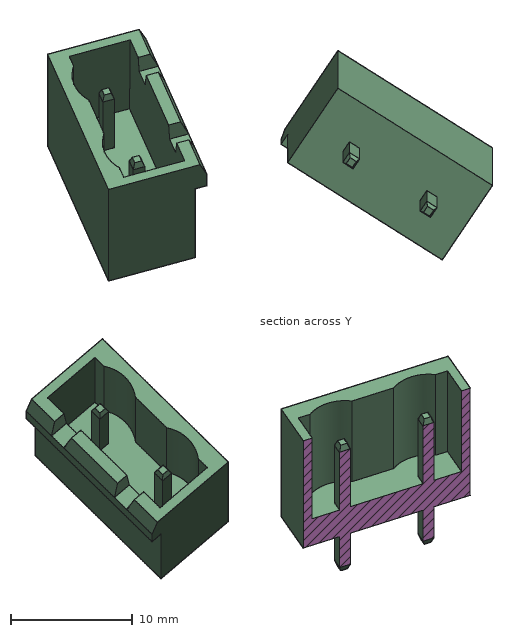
import cadquery as cq

WIDTH = 15.23
BODY_DEPTH = 7.6
BODY_HEIGHT = 12.0
OVERALL_DEPTH = 8.6

LIP_HEIGHT = 3.0
LIP_CHAMFER_DEPTH = 0.6
LIP_CHAMFER_HEIGHT = 1.5

CAVITY_WIDTH = 13.6
CAVITY_FRONT = 1.62
CAVITY_BACK_TOP = 6.95
CAVITY_BACK_FLOOR = 6.88
FLOOR_THICKNESS = 3.0
SCALLOP_CHORD = 3.84
SCALLOP_RISE = 0.6

SLOT_TOP_WIDTH = 2.03
SLOT_FLOOR_WIDTH = 1.47
SLOT_DEPTH = LIP_CHAMFER_HEIGHT

PIN_PITCH = 7.62
PIN_Y = 3.82
PIN_SIZE = 1.0
PIN_TIP_SIZE = 0.6
PIN_TIP_LENGTH = 0.6
PIN_BOTTOM = -4.0
PIN_TOP_RECESS = 2.0
PIN_TOP = BODY_HEIGHT - PIN_TOP_RECESS
PIN_POSITIONS = (-PIN_PITCH / 2, PIN_PITCH / 2)


def extrude_across(points, width):
    """Extrude a closed (Y, Z) outline symmetrically about X = 0."""
    return cq.Workplane("YZ").polyline(points).close().extrude(width / 2, both=True)


def make_body():
    """Housing block with the chamfered latch lip."""
    return extrude_across(
        [
            (0, 0),
            (BODY_DEPTH, 0),
            (BODY_DEPTH, BODY_HEIGHT - LIP_HEIGHT),
            (OVERALL_DEPTH, BODY_HEIGHT - LIP_HEIGHT),
            (OVERALL_DEPTH, BODY_HEIGHT - LIP_CHAMFER_HEIGHT),
            (OVERALL_DEPTH - LIP_CHAMFER_DEPTH, BODY_HEIGHT),
            (0, BODY_HEIGHT),
        ],
        WIDTH,
    )


def make_cavity():
    """Main cavity with the leaning back wall."""
    return extrude_across(
        [
            (CAVITY_FRONT, FLOOR_THICKNESS),
            (CAVITY_BACK_FLOOR, FLOOR_THICKNESS),
            (CAVITY_BACK_TOP, BODY_HEIGHT),
            (CAVITY_FRONT, BODY_HEIGHT),
        ],
        CAVITY_WIDTH,
    )


def make_scallop(x):
    """Shallow round recess in the front cavity wall, closed inside the cavity."""
    half_chord = SCALLOP_CHORD / 2
    return (
        cq.Workplane("XY", origin=(x, 0, FLOOR_THICKNESS))
        .moveTo(-half_chord, CAVITY_FRONT)
        .threePointArc((0, CAVITY_FRONT - SCALLOP_RISE), (half_chord, CAVITY_FRONT))
        .lineTo(half_chord, PIN_Y)
        .lineTo(-half_chord, PIN_Y)
        .close()
        .extrude(BODY_HEIGHT - FLOOR_THICKNESS)
    )


def make_slot(x):
    """Trapezoidal notch running from inside the cavity out through the lip."""
    half_top = SLOT_TOP_WIDTH / 2
    half_floor = SLOT_FLOOR_WIDTH / 2
    return (
        cq.Workplane("XZ", origin=(x, OVERALL_DEPTH, BODY_HEIGHT))
        .polyline(
            [
                (-half_top, 0),
                (half_top, 0),
                (half_floor, -SLOT_DEPTH),
                (-half_floor, -SLOT_DEPTH),
            ]
        )
        .close()
        .extrude(OVERALL_DEPTH - PIN_Y)
    )


def make_pin_tip(x, base_z, direction):
    """Tapered tip starting at base_z, pointing up (1) or down (-1)."""
    base_plane = cq.Plane(origin=(x, PIN_Y, base_z), xDir=(1, 0, 0), normal=(0, 0, direction))
    return (
        cq.Workplane(base_plane)
        .rect(PIN_SIZE, PIN_SIZE)
        .workplane(offset=PIN_TIP_LENGTH)
        .rect(PIN_TIP_SIZE, PIN_TIP_SIZE)
        .loft(ruled=True)
    )


def make_pin(x):
    """Square pin passing through the floor, tapered at both ends."""
    shank_bottom = PIN_BOTTOM + PIN_TIP_LENGTH
    shank_top = PIN_TOP - PIN_TIP_LENGTH
    shank = (
        cq.Workplane("XY", origin=(x, PIN_Y, shank_bottom))
        .rect(PIN_SIZE, PIN_SIZE)
        .extrude(shank_top - shank_bottom)
    )
    return shank.union(make_pin_tip(x, shank_top, 1)).union(make_pin_tip(x, shank_bottom, -1))


result = make_body().cut(make_cavity())
for pin_x in PIN_POSITIONS:
    result = result.cut(make_scallop(pin_x)).cut(make_slot(pin_x))
for pin_x in PIN_POSITIONS:
    result = result.union(make_pin(pin_x))